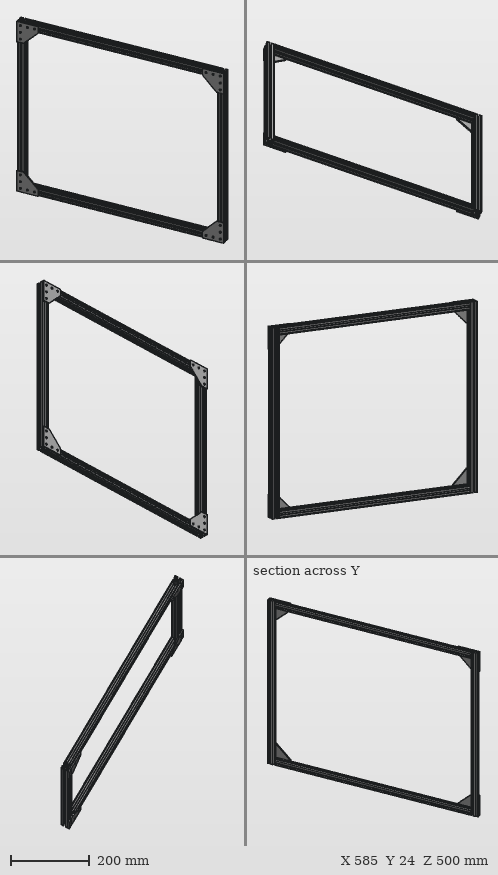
import cadquery as cq
import math

frame_width = 585.0
frame_height = 500.0
frame_depth = 24.0

plate_thickness = 4.0
hole_diameter = 5.1
holes_per_leg = 3

rail_size = frame_depth - plate_thickness
slot_opening = 5.0
lip_thickness = 1.5
core_width = 7.5
web_thickness = 1.45
bore_diameter = 4.2

plate_leg = holes_per_leg * rail_size

rail_y = (frame_depth - rail_size) / 2
plate_back_y = -frame_depth / 2 + plate_thickness
post_x = (frame_width - rail_size) / 2
beam_z = (frame_height - rail_size) / 2


def t_slot(length):
    """T-slot in the +X side of a rail along Z; its flanks follow the diagonal webs."""
    outer = rail_size / 2
    lip_inside = outer - lip_thickness
    floor = core_width / 2
    web_offset = web_thickness / math.sqrt(2)
    opening_half = slot_opening / 2
    undercut_half = lip_inside - web_offset
    floor_half = floor - web_offset
    return (
        cq.Workplane("XY")
        .polyline([
            (outer, -opening_half),
            (lip_inside, -opening_half),
            (lip_inside, -undercut_half),
            (floor, -floor_half),
            (floor, floor_half),
            (lip_inside, undercut_half),
            (lip_inside, opening_half),
            (outer, opening_half),
        ])
        .close()
        .extrude(length / 2, both=True)
    )


def rail(length):
    """Rail along Z, centred on the origin."""
    body = cq.Workplane("XY").rect(rail_size, rail_size).extrude(length / 2, both=True)
    bore = cq.Workplane("XY").circle(bore_diameter / 2).extrude(length / 2, both=True)
    body = body.cut(bore)
    for angle in (0, 90, 180, 270):
        body = body.cut(t_slot(length).rotate((0, 0, 0), (0, 0, 1), angle))
    return body


def post(side):
    """Upright rail over the full height; side is -1 for left, +1 for right."""
    return rail(frame_height).translate((side * post_x, rail_y, 0))


def beam(side):
    """Level rail between the posts; side is -1 for bottom, +1 for top."""
    level = rail(frame_width - 2 * rail_size).rotate((0, 0, 0), (0, 1, 0), 90)
    return level.translate((0, rail_y, side * beam_z))


def corner_plate(side_x, side_z):
    """Plate over one corner, with a row of screw holes along each rail."""

    def from_corner(along_x, along_z):
        return (side_x * (frame_width / 2 - along_x), side_z * (frame_height / 2 - along_z))

    steps = [(i + 0.5) * rail_size for i in range(holes_per_leg)]
    on_beam = [from_corner(step, steps[0]) for step in steps]
    on_post = [from_corner(steps[0], step) for step in steps[1:]]
    plane = cq.Workplane("XZ", origin=(0, plate_back_y, 0))
    outline = [
        from_corner(0, 0),
        from_corner(plate_leg, 0),
        from_corner(plate_leg, rail_size),
        from_corner(rail_size, plate_leg),
        from_corner(0, plate_leg),
    ]
    body = plane.polyline(outline).close().extrude(plate_thickness)
    holes = plane.pushPoints(on_beam + on_post).circle(hole_diameter / 2).extrude(plate_thickness)
    return body.cut(holes)


sides = (-1, 1)
posts = [post(side).val() for side in sides]
beams = [beam(side).val() for side in sides]
corner_plates = [corner_plate(x, z).val() for x in sides for z in sides]

result = cq.Compound.makeCompound([*posts, *beams, *corner_plates])